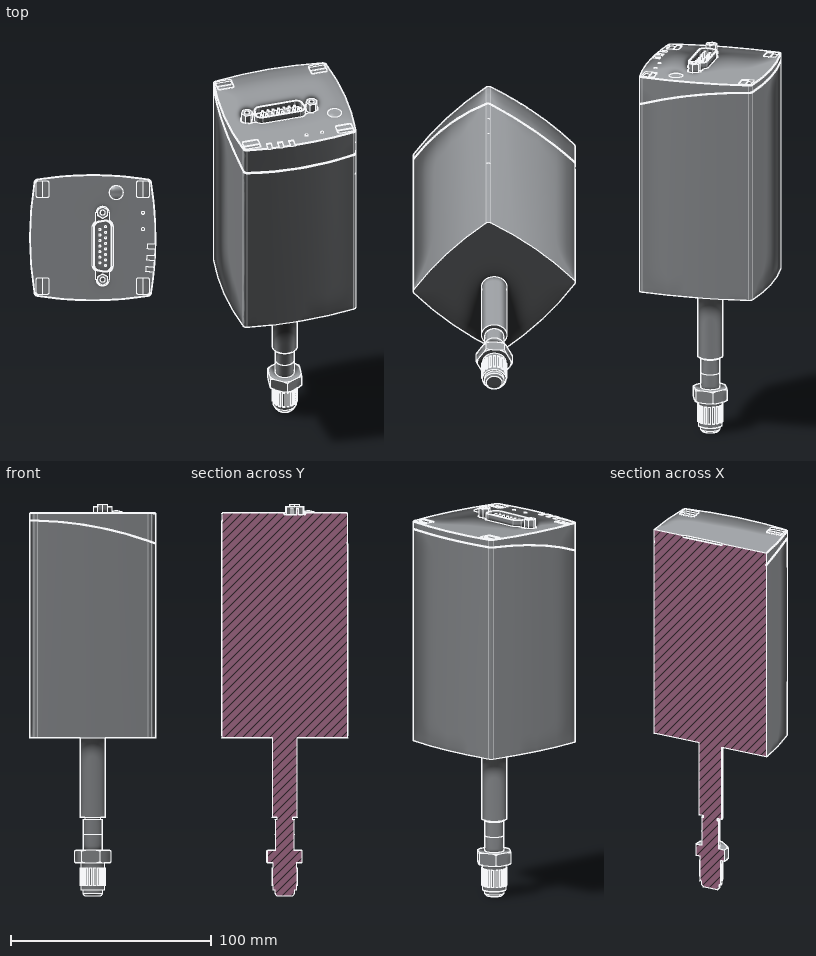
import cadquery as cq
import math

WIDTH = 62.85
DEPTH = 62.79
HEIGHT = 112.2
TOTAL_HEIGHT = 195.13
BULGE_RADIUS = 172.0
CORNER_RADIUS = 2.0
TOP_CHAMFER = 0.35

SEAM_DROP = 3.7
SEAM_RADIUS = 178.0
GROOVE_WIDTH = 0.5
GROOVE_DEPTH = 0.3

POCKET_X = 25.0
POCKET_Y = 24.1
POCKET_WIDTH = 6.4
POCKET_LENGTH = 8.2
POCKET_FILLET = 0.9
POCKET_INNER_DEPTH = 0.5
POCKET_OUTER_DEPTH = 1.0

BUTTON_X, BUTTON_Y = 11.7, 22.5
BUTTON_DIAMETER = 7.0
BUTTON_RISE = 1.0
LIGHT_X = 25.0
LIGHT_YS = (12.4, 4.3)
LIGHT_DIAMETER = 1.5
LIGHT_DEPTH = 1.0
SLOT_COUNT = 3
SLOT_PITCH = 5.8
SLOT_FIRST = -4.4
SLOT_WIDTH = 2.4
SLOT_LENGTH = 4.2
SLOT_DEPTH = 0.6

CONNECTOR_X, CONNECTOR_Y = 4.95, -4.2
SHELL_WIDTH = 9.4
SHELL_LENGTH = 27.2
SHELL_SLANT = math.radians(10)
SHELL_CORNER_RADIUS = 3.3
SHELL_WALL = 0.6
SHELL_RISE = 2.95
OPENING_GAP = 0.6
OPENING_DEPTH = 1.0
PIN_DIAMETER = 1.0
PIN_PITCH = 2.76
PIN_ROW_SPACING = 2.84
PIN_RISE = 2.2
LONG_ROW_PINS = 8
SHORT_ROW_PINS = 7
JACK_SPACING = 33.4
JACK_FLATS = 5.0
JACK_TOP_DIAMETER = 5.3
JACK_RISE = 4.15
JACK_HOLE_DIAMETER = 2.5
JACK_HOLE_DEPTH = 3.0
LOBE_DIAMETER = 6.35
NECK_WIDTH = 7.0

TIP_Z = HEIGHT + JACK_RISE - TOTAL_HEIGHT
TUBE_DIAMETER = 12.7
TUBE_END_Z = -39.6
RELIEF_DIAMETER = 7.9
RELIEF_END_Z = -40.6
NECK_DIAMETER = 9.5
NECK_END_Z = -48.2
GLAND_DIAMETER = 9.53
NUT_TOP_Z = -55.9
NUT_BOTTOM_Z = -62.3
NUT_FLATS = 15.875
NUT_CHAMFER_DIAMETER = 16.6
NUT_CHAMFER_HEIGHT = 0.5
NUT_TURN = -7.0
COLLAR_DIAMETER = 11.78
SPLINE_TOP_Z = -64.7
SPLINE_BOTTOM_Z = -73.5
SPLINE_DIAMETER = 12.7
SPLINE_COUNT = 18
SPLINE_TOOTH_WIDTH = 1.1
COLLAR_END_Z = -75.8
TIP_DIAMETER = 9.91
TIP_CHAMFER_Z = -77.6
TIP_END_DIAMETER = 7.87

EPS = 0.1


def hexagon(flats):
    """Circumscribed diameter of a hexagon of the given width across flats."""
    return flats / math.cos(math.pi / 6)


def housing_prism(inset=0.0):
    """Full-height prism with four bulged walls, moved inwards by inset."""
    half_x = WIDTH / 2 - inset
    half_y = DEPTH / 2 - inset
    radius = BULGE_RADIUS - inset
    reach = radius - (half_x + half_y) / 2
    corner = (-reach + math.sqrt(2 * radius ** 2 - reach ** 2)) / 2
    outline = (
        cq.Workplane("XY")
        .moveTo(-corner, -corner)
        .threePointArc((0, -half_y), (corner, -corner))
        .threePointArc((half_x, 0), (corner, corner))
        .threePointArc((0, half_y), (-corner, corner))
        .threePointArc((-half_x, 0), (-corner, -corner))
        .close()
    )
    return outline.extrude(HEIGHT).edges("|Z").fillet(CORNER_RADIUS - inset)


def seam_band():
    """Curved slab following the seam, level at -X and falling towards +X."""
    top = HEIGHT - SEAM_DROP
    start = -WIDTH / 2
    center_z = top - SEAM_RADIUS

    def point(angle, radius):
        return (start + radius * math.sin(angle), center_z + radius * math.cos(angle))

    inner = SEAM_RADIUS - GROOVE_WIDTH
    before = -math.asin(1 / SEAM_RADIUS)
    after = math.asin((WIDTH + 2) / inner)
    middle = (before + after) / 2
    return (
        cq.Workplane("XZ")
        .moveTo(*point(before, SEAM_RADIUS))
        .threePointArc(point(middle, SEAM_RADIUS), point(after, SEAM_RADIUS))
        .lineTo(*point(after, inner))
        .threePointArc(point(middle, inner), point(before, inner))
        .close()
        .extrude(DEPTH, both=True)
    )


def make_housing():
    prism = housing_prism()
    groove = seam_band().cut(housing_prism(GROOVE_DEPTH))
    return prism.faces(">Z").chamfer(TOP_CHAMFER).cut(groove)


def corner_pockets():
    """Four two-level rounded pockets, deeper in the half towards the side wall."""
    pockets = cq.Workplane("XY")
    for side_x in (-1, 1):
        for side_y in (-1, 1):
            center = (side_x * POCKET_X, side_y * POCKET_Y)
            pocket = (
                cq.Workplane("XY", origin=(*center, HEIGHT - POCKET_OUTER_DEPTH))
                .rect(POCKET_WIDTH, POCKET_LENGTH)
                .extrude(POCKET_OUTER_DEPTH)
                .edges("|Z")
                .fillet(POCKET_FILLET)
            )
            step = (
                cq.Workplane("XY", origin=(*center, HEIGHT - POCKET_OUTER_DEPTH))
                .center(-side_x * POCKET_WIDTH / 4, 0)
                .rect(POCKET_WIDTH / 2, POCKET_LENGTH)
                .extrude(POCKET_OUTER_DEPTH - POCKET_INNER_DEPTH)
            )
            pockets = pockets.add(pocket.cut(step))
    return pockets.combine()


def indicator_holes():
    return (
        cq.Workplane("XY", origin=(0, 0, HEIGHT - LIGHT_DEPTH))
        .pushPoints([(LIGHT_X, y) for y in LIGHT_YS])
        .circle(LIGHT_DIAMETER / 2)
        .extrude(LIGHT_DEPTH)
    )


def edge_slots():
    """Short slots square to the +X wall, open at its upper edge."""
    slots = cq.Workplane("XY")
    axis_x = WIDTH / 2 - BULGE_RADIUS
    for index in range(SLOT_COUNT):
        along = SLOT_FIRST - index * SLOT_PITCH
        slot = (
            cq.Workplane("XY", origin=(WIDTH / 2, 0, HEIGHT - SLOT_DEPTH))
            .rect(2 * SLOT_LENGTH, SLOT_WIDTH)
            .extrude(SLOT_DEPTH)
            .rotate((axis_x, 0, 0), (axis_x, 0, 1), math.degrees(along / BULGE_RADIUS))
        )
        slots = slots.add(slot)
    return slots.combine()


def button():
    """Shallow spherical cap on the top."""
    half = BUTTON_DIAMETER / 2
    sphere_radius = (half ** 2 + BUTTON_RISE ** 2) / (2 * BUTTON_RISE)
    center = (BUTTON_X, BUTTON_Y, HEIGHT + BUTTON_RISE - sphere_radius)
    ball = cq.Workplane("XZ", origin=center).sphere(sphere_radius)
    keep = (
        cq.Workplane("XY", origin=(BUTTON_X, BUTTON_Y, HEIGHT - EPS))
        .circle(half)
        .extrude(BUTTON_RISE + 2 * EPS)
    )
    return ball.intersect(keep)


def connector_base(z):
    """Workplane centred on the connector at height z."""
    return cq.Workplane("XY", origin=(CONNECTOR_X, CONNECTOR_Y, z))


def d_prism(offset, bottom, top):
    """D-shaped prism around the connector, its outline grown by offset."""
    half_x = SHELL_WIDTH / 2 + offset
    long_half = SHELL_LENGTH / 2 + offset
    short_half = long_half - 2 * half_x * math.tan(SHELL_SLANT)
    corners = [(half_x, -long_half), (half_x, long_half), (-half_x, short_half), (-half_x, -short_half)]
    return (
        connector_base(bottom)
        .polyline(corners)
        .close()
        .extrude(top - bottom)
        .edges("|Z")
        .fillet(SHELL_CORNER_RADIUS + offset)
    )


def connector_opening():
    """Recess around the shell and both jacks."""
    floor = HEIGHT - OPENING_DEPTH
    neck = connector_base(floor).rect(NECK_WIDTH, JACK_SPACING).extrude(OPENING_DEPTH)
    lobes = (
        connector_base(floor)
        .rarray(1, JACK_SPACING, 1, 2)
        .circle(LOBE_DIAMETER / 2)
        .extrude(OPENING_DEPTH)
    )
    return d_prism(OPENING_GAP, floor, HEIGHT).union(neck).union(lobes)


def connector_shell():
    floor = HEIGHT - OPENING_DEPTH
    outer = d_prism(0, floor - EPS, HEIGHT + SHELL_RISE)
    return outer.cut(d_prism(-SHELL_WALL, floor, HEIGHT + SHELL_RISE))


def connector_pins():
    """Two staggered rows of pins, the longer row towards +X."""
    floor = HEIGHT - OPENING_DEPTH - EPS
    pins = cq.Workplane("XY")
    for side, count in ((1, LONG_ROW_PINS), (-1, SHORT_ROW_PINS)):
        row = (
            connector_base(floor)
            .center(side * PIN_ROW_SPACING / 2, 0)
            .rarray(1, PIN_PITCH, 1, count)
            .circle(PIN_DIAMETER / 2)
            .extrude(HEIGHT + PIN_RISE - floor)
        )
        pins = pins.add(row)
    return pins.combine()


def chamfering_cone(diameter, height, chamfer_height, spread):
    """Cylinder of diameter spread, chamfered at the top to the given diameter."""
    profile = [
        (0, 0),
        (spread / 2, 0),
        (spread / 2, height - chamfer_height),
        (diameter / 2, height),
        (0, height),
    ]
    return cq.Workplane("XZ").polyline(profile).close().revolve(360, (0, 0), (0, 1))


def jack_screws():
    """Hexagonal jack screws with chamfered tops and blind holes, corners along Y."""
    height = OPENING_DEPTH + EPS + JACK_RISE
    across_corners = hexagon(JACK_FLATS)
    chamfer_height = (across_corners - JACK_TOP_DIAMETER) / 2
    body = cq.Workplane("XY").polygon(6, across_corners).extrude(height).rotate((0, 0, 0), (0, 0, 1), 30)
    body = body.intersect(chamfering_cone(JACK_TOP_DIAMETER, height, chamfer_height, across_corners))
    body = body.faces(">Z").workplane().hole(JACK_HOLE_DIAMETER, JACK_HOLE_DEPTH)
    jacks = cq.Workplane("XY")
    for side in (-1, 1):
        place = (CONNECTOR_X, CONNECTOR_Y + side * JACK_SPACING / 2, HEIGHT - OPENING_DEPTH - EPS)
        jacks = jacks.add(body.translate(place))
    return jacks.combine()


def fitting_core():
    """Turned profile of the tube, neck, gland and tip."""
    steps = [
        (TUBE_DIAMETER, EPS),
        (TUBE_DIAMETER, TUBE_END_Z),
        (RELIEF_DIAMETER, TUBE_END_Z),
        (RELIEF_DIAMETER, RELIEF_END_Z),
        (NECK_DIAMETER, RELIEF_END_Z),
        (NECK_DIAMETER, NECK_END_Z),
        (GLAND_DIAMETER, NECK_END_Z),
        (GLAND_DIAMETER, NUT_TOP_Z),
        (COLLAR_DIAMETER, NUT_TOP_Z),
        (COLLAR_DIAMETER, COLLAR_END_Z),
        (TIP_DIAMETER, COLLAR_END_Z),
        (TIP_DIAMETER, TIP_CHAMFER_Z),
        (TIP_END_DIAMETER, TIP_Z),
    ]
    profile = [(0, EPS)] + [(diameter / 2, z) for diameter, z in steps] + [(0, TIP_Z)]
    return cq.Workplane("XZ").polyline(profile).close().revolve(360, (0, 0), (0, 1))


def hex_nut():
    """Hexagonal nut with both ends chamfered."""
    height = NUT_TOP_Z - NUT_BOTTOM_Z
    across_corners = hexagon(NUT_FLATS)
    prism = cq.Workplane("XY").polygon(6, across_corners).extrude(height)
    cone = chamfering_cone(NUT_CHAMFER_DIAMETER, height, NUT_CHAMFER_HEIGHT, across_corners)
    flipped_cone = cone.mirror("XY").translate((0, 0, height))
    nut = prism.intersect(cone).intersect(flipped_cone)
    return nut.rotate((0, 0, 0), (0, 0, 1), NUT_TURN).translate((0, 0, NUT_BOTTOM_Z))


def spline_teeth():
    """Ring of straight teeth below the nut."""
    height = SPLINE_TOP_Z - SPLINE_BOTTOM_Z
    base = cq.Workplane("XY", origin=(0, 0, SPLINE_BOTTOM_Z))
    tooth_bars = (
        base.polarArray(SPLINE_DIAMETER / 2, 0, 360, SPLINE_COUNT)
        .rect(SPLINE_DIAMETER / 4, SPLINE_TOOTH_WIDTH)
        .extrude(height)
    )
    envelope = base.circle(SPLINE_DIAMETER / 2).extrude(height)
    return tooth_bars.intersect(envelope)


result = make_housing()
for recess in (corner_pockets(), indicator_holes(), edge_slots(), connector_opening()):
    result = result.cut(recess)
for piece in (button(), connector_shell(), connector_pins(), jack_screws()):
    result = result.union(piece)
for piece in (fitting_core(), hex_nut(), spline_teeth()):
    result = result.union(piece)